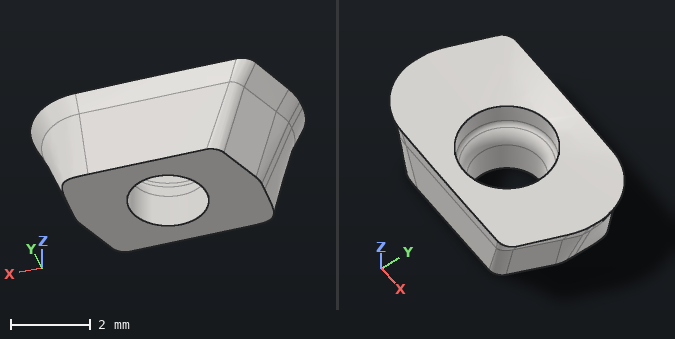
import cadquery as cq
import math

height = 2.4
flank_height = 1.8
base_height = 0.0

hole_radius = 2.05 / 2
seat_throat_z = 0.95
seat_radius = 0.63
seat_angle = math.radians(47)
recess_fillet = 0.246
recess_taper = math.radians(1.5)

rim_z = 2.14
rim_radius = 1.325
rim_points = 12
dish_degree = 2

flat_start_y = -0.05
flat_end_y = -0.29

round_fullness = 0.56
tight_fullness = 0.95

half_turn = 180
full_turn = 360


def point(x, y, z):
    return cq.Vector(x, y, z)


def corner_curve(start, corner, end, fullness):
    """Cubic corner blend; fullness 1 pulls both handles onto the sharp corner."""
    first_handle = start + (corner - start) * fullness
    second_handle = end + (corner - end) * fullness
    return cq.Edge.makeBezier([start, first_handle, second_handle, end])


def crossing(start, start_direction, end, end_direction):
    """Point where two lines in the same horizontal plane meet."""
    gap = end - start
    determinant = start_direction.x * end_direction.y - start_direction.y * end_direction.x
    distance = (gap.x * end_direction.y - gap.y * end_direction.x) / determinant
    return start + start_direction * distance


def outline(z, end_x, edge_top, edge_bottom, long_start, long_end, nose_fullness, bulge=0):
    """Edges of a closed outline that repeats itself after half a turn about Z.

    One half runs down the slanted end edge, over the short flat, round the large nose,
    along the long side and round the small tip.
    """
    end_edge_top = point(*edge_top, z)
    end_edge_bottom = point(*edge_bottom, z)
    flat_top = point(-end_x, flat_start_y, z)
    flat_bottom = point(-end_x, flat_end_y, z)
    side_start = point(*long_start, z)
    side_end = point(*long_end, z)
    next_edge = point(-edge_top[0], -edge_top[1], z)

    end_direction = end_edge_bottom - end_edge_top
    flat_direction = flat_bottom - flat_top
    side_direction = side_end - side_start

    blend_corner = crossing(end_edge_bottom, end_direction, flat_top, flat_direction)
    nose_corner = crossing(flat_bottom, flat_direction, side_start, side_direction)
    tip_corner = crossing(side_end, side_direction, next_edge, end_direction)

    if bulge:
        outward = cq.Vector(side_direction.y, -side_direction.x, 0).normalized()
        side_middle = (side_start + side_end) * 0.5 + outward * bulge
        side = cq.Edge.makeThreePointArc(side_start, side_middle, side_end)
    else:
        side = cq.Edge.makeLine(side_start, side_end)
    half = [
        cq.Edge.makeLine(end_edge_top, end_edge_bottom),
        corner_curve(end_edge_bottom, blend_corner, flat_top, round_fullness),
        cq.Edge.makeLine(flat_top, flat_bottom),
        corner_curve(flat_bottom, nose_corner, side_start, nose_fullness),
        side,
        corner_curve(side_end, tip_corner, next_edge, round_fullness),
    ]
    origin = cq.Vector(0, 0, 0)
    axis = cq.Vector(0, 0, 1)
    return half + [edge.rotate(origin, axis, half_turn) for edge in half]


top_edges = outline(
    z=height,
    end_x=3.46,
    edge_top=(-2.88, 1.8),
    edge_bottom=(-3.345, 0.52),
    long_start=(-1.83, -1.96),
    long_end=(2.45, -2.085),
    nose_fullness=round_fullness,
    bulge=0.015,
)
flank_edges = outline(
    z=flank_height,
    end_x=3.16,
    edge_top=(-2.52, 1.65),
    edge_bottom=(-2.99, 0.46),
    long_start=(-1.76, -1.86),
    long_end=(2.23, -1.96),
    nose_fullness=round_fullness,
)
base_edges = outline(
    z=base_height,
    end_x=2.45,
    edge_top=(-1.92, 1.44),
    edge_bottom=(-2.39, 0.25),
    long_start=(-1.60, -1.62),
    long_end=(1.54, -1.69),
    nose_fullness=tight_fullness,
)


def ruled_faces(lower, upper):
    """Straight-sided faces between matching edges of two outlines."""
    return [cq.Face.makeRuledSurface(low, high) for low, high in zip(lower, upper)]


def dished_face(edges):
    """Smooth face that falls from the cutting edge to the rim of the screw hole."""
    angles = [2 * math.pi * i / rim_points for i in range(rim_points)]
    rim = [point(rim_radius * math.cos(a), rim_radius * math.sin(a), rim_z) for a in angles]
    return cq.Face.makeNSidedSurface(edges, rim, degree=dish_degree)


def insert_body():
    base_face = cq.Face.makeFromWires(cq.Wire.assembleEdges(base_edges))
    faces = [base_face, dished_face(top_edges)]
    faces += ruled_faces(base_edges, flank_edges)
    faces += ruled_faces(flank_edges, top_edges)
    return cq.Solid.makeSolid(cq.Shell.makeShell(faces))


def screw_hole():
    """Through hole with a rounded seat and a slightly tapered recess above it."""
    def seat_point(angle):
        radius = hole_radius + seat_radius * (1 - math.cos(angle))
        return radius, seat_throat_z + seat_radius * math.sin(angle)

    seat_top = seat_point(seat_angle)

    def fillet_point(angle):
        radius = seat_top[0] + recess_fillet * (math.cos(angle) - math.cos(seat_angle))
        return radius, seat_top[1] + recess_fillet * (math.sin(seat_angle) - math.sin(angle))

    fillet_top = fillet_point(0)
    recess_radius = fillet_top[0] + (height - fillet_top[1]) * math.tan(recess_taper)
    profile = (
        cq.Workplane("XZ")
        .moveTo(0, base_height)
        .lineTo(hole_radius, base_height)
        .lineTo(hole_radius, seat_throat_z)
        .threePointArc(seat_point(seat_angle / 2), seat_top)
        .threePointArc(fillet_point(seat_angle / 2), fillet_top)
        .lineTo(recess_radius, height)
        .lineTo(0, height)
        .close()
    )
    return profile.revolve(full_turn, (0, 0, 0), (0, 1, 0))


result = cq.Workplane(insert_body()).cut(screw_hole()).solids()